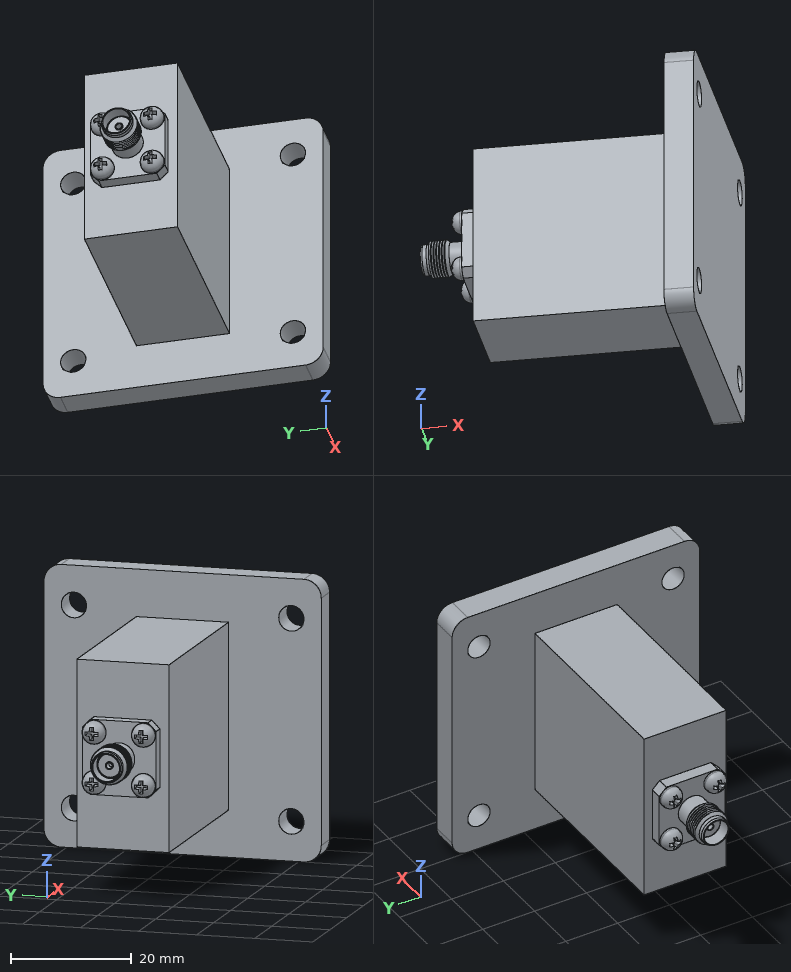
import cadquery as cq
import math


total_length = 49.9
flange_thickness = 5.0
body_length = 35.0
connector_length = total_length - flange_thickness - body_length

flange_width_y = 47.81
flange_height_z = 47.83
flange_corner_radius = 3.0
flange_hole_diameter = 4.3
flange_hole_spacing_y = 37.46
flange_hole_spacing_z = 34.34

body_width_y = 15.88
body_height_z = 31.75

plate_size = 12.7
plate_thickness = 2.2
plate_chamfer = 1.4

barrel_diameter = 5.34
tip_diameter = 5.26
tip_chamfer_length = 0.35
tip_chamfer_depth = 0.15
tip_length = 1.05
thread_diameter = 6.35
thread_root_diameter = 5.6
thread_pitch = 0.46
thread_grooves = 6
thread_lead_in_length = 0.5
thread_run_out_length = 0.6

bore_diameter = 4.6
bore_depth = 2.4
insulator_diameter = 4.24
insulator_face_diameter = 3.97
insulator_face_depth = 2.0
insulator_chamfer_length = 0.2
contact_diameter = 1.3
contact_protrusion = 0.2
contact_hole_diameter = 1.0
contact_hole_depth = 1.5
drill_point_angle = 118.0

screw_spacing = 8.5
head_diameter = 3.97
head_height = 2.05
head_rim_height = 0.37
recess_length = 2.3
recess_arm_width = 0.73
recess_depth = 1.0
recess_taper = 11.0

body_front_x = 0.0
plate_front_x = body_front_x - plate_thickness
tip_x = body_front_x - connector_length
flange_front_x = body_front_x + body_length


def block(start_x, length, width_y, height_z):
    """Box centred on the X axis, running from start_x towards +X."""
    return cq.Workplane("YZ", origin=(start_x, 0, 0)).rect(width_y, height_z).extrude(length)


def revolve_about_x(points):
    """Solid of revolution about the X axis from a closed outline of (x, radius) points."""
    return cq.Workplane("XY").polyline(points).close().revolve(360, (0, 0, 0), (1, 0, 0))


def make_flange():
    flange = block(flange_front_x, flange_thickness, flange_width_y, flange_height_z)
    flange = flange.edges("|X").fillet(flange_corner_radius)
    holes = (
        cq.Workplane("YZ", origin=(flange_front_x, 0, 0))
        .rect(flange_hole_spacing_y, flange_hole_spacing_z, forConstruction=True)
        .vertices()
        .circle(flange_hole_diameter / 2)
        .extrude(flange_thickness)
    )
    return flange.cut(holes)


def make_plate():
    plate = block(plate_front_x, plate_thickness, plate_size, plate_size)
    return plate.edges("|X").chamfer(plate_chamfer)


def make_barrel():
    """Solid barrel with a chamfered tip and V-shaped thread rings."""
    tip_radius = tip_diameter / 2
    crest_radius = thread_diameter / 2
    root_radius = thread_root_diameter / 2
    barrel_radius = barrel_diameter / 2
    lead_in_x = tip_x + tip_length
    first_crest_x = lead_in_x + thread_lead_in_length
    last_crest_x = first_crest_x + thread_grooves * thread_pitch

    outline = [
        (tip_x, 0),
        (tip_x, tip_radius - tip_chamfer_depth),
        (tip_x + tip_chamfer_length, tip_radius),
        (lead_in_x, tip_radius),
        (first_crest_x, crest_radius),
    ]
    for groove in range(thread_grooves):
        crest_x = first_crest_x + groove * thread_pitch
        outline.append((crest_x + thread_pitch / 2, root_radius))
        outline.append((crest_x + thread_pitch, crest_radius))
    outline += [
        (last_crest_x + thread_run_out_length, barrel_radius),
        (plate_front_x, barrel_radius),
        (plate_front_x, 0),
    ]
    return revolve_about_x(outline)


def make_socket():
    """Space removed from the barrel: around the insulator, the contact and its drilled hole."""
    insulator_x = tip_x + insulator_face_depth
    contact_x = insulator_x - contact_protrusion
    hole_radius = contact_hole_diameter / 2
    hole_end_x = contact_x + contact_hole_depth
    drill_point_length = hole_radius / math.tan(math.radians(drill_point_angle / 2))
    return revolve_about_x([
        (tip_x, 0),
        (tip_x, bore_diameter / 2),
        (tip_x + bore_depth, bore_diameter / 2),
        (tip_x + bore_depth, insulator_diameter / 2),
        (insulator_x + insulator_chamfer_length, insulator_diameter / 2),
        (insulator_x, insulator_face_diameter / 2),
        (insulator_x, contact_diameter / 2),
        (contact_x, contact_diameter / 2),
        (contact_x, hole_radius),
        (hole_end_x, hole_radius),
        (hole_end_x + drill_point_length, 0),
    ])


def make_recess():
    """Cross-shaped recess that narrows from the head top inwards."""
    top = cq.Workplane("YZ", origin=(plate_front_x - head_height, 0, 0))
    tip = recess_length / 2
    side = recess_arm_width / 2
    cross = [
        (tip, side), (side, side), (side, tip),
        (-side, tip), (-side, side), (-tip, side),
        (-tip, -side), (-side, -side), (-side, -tip),
        (side, -tip), (side, -side), (tip, -side),
    ]
    return top.polyline(cross).close().extrude(recess_depth, taper=recess_taper)


def make_screw_head():
    """Head on the X axis, seated on the plate: a short rim under a half-ellipsoid dome."""
    head_radius = head_diameter / 2
    dome_height = head_height - head_rim_height
    top_x = plate_front_x - head_height
    head = (
        cq.Workplane("XY")
        .moveTo(top_x, 0)
        .ellipseArc(dome_height, head_radius, 90, 180, sense=-1)
        .lineTo(plate_front_x, head_radius)
        .lineTo(plate_front_x, 0)
        .close()
        .revolve(360, (0, 0, 0), (1, 0, 0))
    )
    return head.cut(make_recess())


def make_adapter():
    adapter = block(body_front_x, body_length, body_width_y, body_height_z)
    adapter = adapter.union(make_flange())
    adapter = adapter.union(make_plate())
    adapter = adapter.union(make_barrel().cut(make_socket()))
    screw_head = make_screw_head()
    for side_y in (-1, 1):
        for side_z in (-1, 1):
            offset = (0, side_y * screw_spacing / 2, side_z * screw_spacing / 2)
            adapter = adapter.union(screw_head.translate(offset))
    return adapter


result = make_adapter()